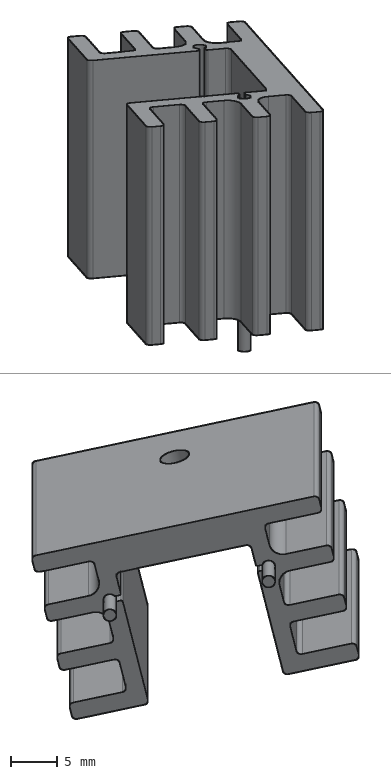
import cadquery as cq

width = 32.0
depth = 20.0
height = 25.0

fin_count = 4
fin_thickness = 2.0
fin_length = 6.5
wall_thickness = 2.0
web_thickness = 4.0
fin_pitch = (depth - fin_thickness) / (fin_count - 1)
wall_outer_x = width / 2 - fin_length
wall_inner_x = wall_outer_x - wall_thickness

tip_radius = 0.5
channel_radius = 0.5
root_radius = 0.5
pin_root_radius = 1.5
slot_lip_radius = 0.2

pin_diameter = 1.4
pin_spacing = 17.7
pin_protrusion = 4.0
pin_insertion = 4.0
pin_y = depth / 2 - fin_pitch - fin_thickness / 2
slot_width = 0.65

mount_hole_diameter = 3.23
mount_hole_drop = 6.72

SIDES = (-1, 1)


def block(x_start, x_end, y_start, y_end):
    """Full-height block between two opposite corners of its plan."""
    return (
        cq.Workplane("XY")
        .rect(abs(x_end - x_start), abs(y_end - y_start))
        .extrude(height)
        .translate(((x_start + x_end) / 2, (y_start + y_end) / 2, 0))
    )


def round_edges(body, points, radius):
    """Round the vertical edges that pass through the given plan points."""
    edges = []
    for x, y in points:
        nearest = cq.selectors.NearestToPointSelector((x, y, height / 2))
        edges.append(body.edges(nearest).val())
    return body.newObject(edges).fillet(radius)


def sharp_section():
    """Web, side walls and fins before any rounding."""
    body = block(-wall_outer_x, wall_outer_x, depth / 2 - web_thickness, depth / 2)
    for side in SIDES:
        body = body.union(block(side * wall_inner_x, side * wall_outer_x, -depth / 2, depth / 2))
        for index in range(fin_count):
            fin_rear = depth / 2 - index * fin_pitch
            fin = block(side * wall_inner_x, side * width / 2, fin_rear - fin_thickness, fin_rear)
            body = body.union(fin)
    return body.clean()


def round_section(body):
    """Round the fin tips, fin roots and channel corners."""
    tips = []
    roots = []
    pin_roots = []
    channel_corners = []
    for side in SIDES:
        channel_corners.append((side * wall_inner_x, depth / 2 - web_thickness))
        tips.append((side * wall_inner_x, -depth / 2))
        for index in range(fin_count):
            fin_rear = depth / 2 - index * fin_pitch
            fin_front = fin_rear - fin_thickness
            tips += [(side * width / 2, fin_rear), (side * width / 2, fin_front)]
            root_group = pin_roots if index == 1 else roots
            if index > 0:
                root_group.append((side * wall_outer_x, fin_rear))
            if index < fin_count - 1:
                root_group.append((side * wall_outer_x, fin_front))
    body = round_edges(body, tips, tip_radius)
    body = round_edges(body, channel_corners, channel_radius)
    body = round_edges(body, roots, root_radius)
    return round_edges(body, pin_roots, pin_root_radius)


def cut_pin_bores(body):
    """Cut the pin bores and the narrow slots that open them to the channel."""
    lips = []
    for side in SIDES:
        bore_x = side * pin_spacing / 2
        bore = cq.Workplane("XY").center(bore_x, pin_y).circle(pin_diameter / 2).extrude(height)
        slot = block(side * wall_inner_x, bore_x, pin_y - slot_width / 2, pin_y + slot_width / 2)
        body = body.cut(bore).cut(slot)
        lips += [(side * wall_inner_x, pin_y + end * slot_width / 2) for end in (-1, 1)]
    return round_edges(body, lips, slot_lip_radius)


def make_heat_sink():
    body = cut_pin_bores(round_section(sharp_section()))
    mount_hole = (
        cq.Workplane("XZ", origin=(0, depth / 2, height - mount_hole_drop))
        .circle(mount_hole_diameter / 2)
        .extrude(web_thickness)
    )
    return body.cut(mount_hole)


def make_pin(side):
    return (
        cq.Workplane("XY", origin=(side * pin_spacing / 2, pin_y, -pin_protrusion))
        .circle(pin_diameter / 2)
        .extrude(pin_protrusion + pin_insertion)
    )


heat_sink = make_heat_sink()
pins = [make_pin(side).val() for side in SIDES]

result = cq.Compound.makeCompound([heat_sink.val(), *pins])